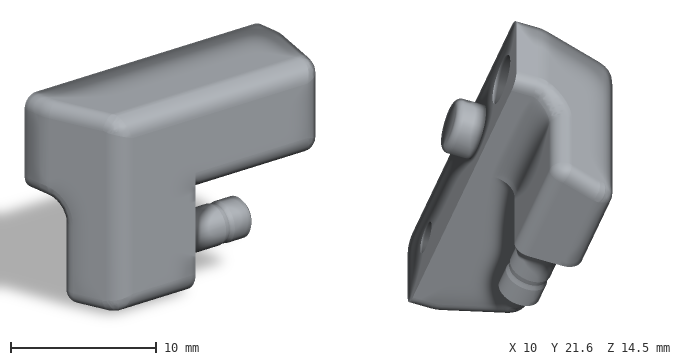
import cadquery as cq

body_length = 21.6
body_depth = 8.0
bar_height = 7.0
total_height = 14.5
half_length = body_length / 2

taper_start = 2.0
taper_inset = 1.84
taper_blend_radius = 3.0
edge_radius = 1.0
back_radius = 1.5

leg_front = 3.02
leg_side = -2.18
leg_blend_radius = 1.5

boss_diameter = 3.89
boss_length = 2.0
boss_round = 0.48
boss_y = -2.8

holes = [(-7.8, 3.52), (7.2, 2.25)]
hole_depth = 4.32
bar_mid_z = -bar_height / 2

pin_diameter = 3.0
pin_length = 6.0
pin_x = (leg_front + body_depth) / 2
pin_z = -11.02
pin_chamfer = 0.2
groove_start = 3.56
groove_width = 0.78
groove_depth = 0.09

select_margin = 0.02


def edges_near(x, z_low, z_high):
    """Selector for edges centred at the given X, anywhere in Y, within a Z range."""
    return cq.selectors.BoxSelector(
        (x - select_margin, -body_length, z_low - select_margin),
        (x + select_margin, body_length, z_high + select_margin),
    )


def tapered_prism(height):
    """Plan outline with blended tapers at both ends, extending down from Z = 0."""
    back_half = half_length - taper_inset
    outline = [
        (0, -half_length),
        (taper_start, -half_length),
        (body_depth, -back_half),
        (body_depth, back_half),
        (taper_start, half_length),
        (0, half_length),
    ]
    prism = cq.Workplane("XY").polyline(outline).close().extrude(-height)
    taper_corners = edges_near(taper_start, -height, 0)
    return prism.edges("|Z").edges(taper_corners).fillet(taper_blend_radius)


def y_slab(y_start, y_end):
    """Block spanning the whole body in X and Z between two Y positions."""
    slab = cq.Workplane("XY").box(body_depth, y_end - y_start, total_height, centered=False)
    return slab.translate((0, y_start, -total_height))


def make_bar():
    """Plain tapered bar, kept on the +Y side of the leg."""
    bar = tapered_prism(bar_height)
    bar = bar.faces(">X").edges().fillet(back_radius)
    bar = bar.edges("|X").fillet(edge_radius)
    return bar.intersect(y_slab(leg_side, half_length))


def make_leg_end():
    """Bar and leg in one L-shaped section, kept on the -Y side of the leg face."""
    under_bar = cq.Workplane("XY").box(
        leg_front, body_length, total_height - bar_height, centered=False
    )
    body = tapered_prism(total_height)
    body = body.cut(under_bar.translate((0, -half_length, -total_height)))

    inner_corner = edges_near(leg_front, -bar_height, -bar_height)
    body = body.edges("|Y").edges(inner_corner).fillet(leg_blend_radius)

    leg_front_edges = edges_near(leg_front, -total_height, -bar_height)
    body = body.faces(">X").edges().fillet(back_radius)
    end_edges = body.edges("|X or (<Z and (not |Y))")
    body = end_edges.add(body.edges("|Y or |Z").edges(leg_front_edges)).fillet(edge_radius)
    return body.intersect(y_slab(-half_length, leg_side))


def make_boss():
    boss = (
        cq.Workplane("YZ")
        .center(boss_y, bar_mid_z)
        .circle(boss_diameter / 2)
        .extrude(-boss_length)
    )
    return boss.faces("<X").edges().fillet(boss_round)


def make_pin():
    """Pin with a shallow V groove, revolved about its Y axis."""
    radius = pin_diameter / 2
    pin_section = (
        cq.Workplane("XY")
        .lineTo(radius, 0)
        .lineTo(radius, groove_start)
        .lineTo(radius - groove_depth, groove_start + groove_width / 2)
        .lineTo(radius, groove_start + groove_width)
        .lineTo(radius, pin_length - pin_chamfer)
        .lineTo(radius - pin_chamfer, pin_length)
        .lineTo(0, pin_length)
        .close()
    )
    pin = pin_section.revolve(360, (0, 0, 0), (0, 1, 0))
    return pin.translate((pin_x, leg_side, pin_z))


def make_hole(hole_y, diameter):
    return cq.Workplane("YZ").center(hole_y, bar_mid_z).circle(diameter / 2).extrude(hole_depth)


result = make_bar().union(make_leg_end()).union(make_boss()).union(make_pin()).clean()
for hole_y, diameter in holes:
    result = result.cut(make_hole(hole_y, diameter))